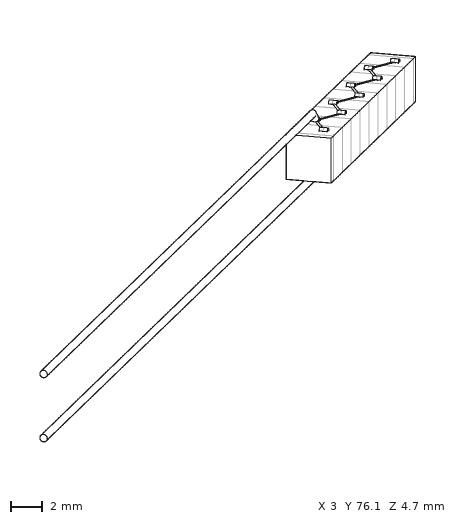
import cadquery as cq

total_length = 76.1
overall_height = 4.7

block_width = 3.0
block_length = 18.9
layer_count = 9
end_plate_length = 0.5
layer_length = (block_length - 2 * end_plate_length) / layer_count

wire_diameter = 0.495
zigzag_reach = 0.57
bus_exposure = 0.015
contact_diameter = 0.4
contact_length = 0.5
lead_corner = 7
lead_start_setback = 0.1
lead_bend_run = 0.75

wire_radius = wire_diameter / 2
back_y = total_length / 2
front_y = -total_length / 2
face_z = block_width / 2
bus_z = face_z + bus_exposure - wire_radius
lead_z = overall_height / 2 - wire_radius


def zigzag_corner(index, z):
    """Corner of the zigzag at the middle of a layer, alternately right and left."""
    side = 1 if index % 2 == 0 else -1
    y = back_y - end_plate_length - (index + 0.5) * layer_length
    return cq.Vector(side * zigzag_reach, y, z)


def make_bent_wire(points):
    """Round wire of straight stretches with mitred bends."""
    start_plane = cq.Plane(origin=points[0], normal=points[1] - points[0])
    path = cq.Workplane("XY").polyline(points)
    return cq.Workplane(start_plane).circle(wire_radius).sweep(path, transition="right")


def make_contact(index):
    """Short round bar along X, half sunk in the face at a corner of the zigzag."""
    bar = cq.Workplane("YZ").circle(contact_diameter / 2).extrude(contact_length / 2, both=True)
    return bar.translate(zigzag_corner(index, face_z))


def make_bus_wire():
    """Zigzag let into the face, with a contact bar at each corner."""
    bus = make_bent_wire([zigzag_corner(index, bus_z) for index in range(layer_count)])
    for index in range(layer_count):
        bus = bus.union(make_contact(index))
    return bus


def make_lead():
    """Wire that rises from a zigzag corner, bends and runs straight to the front."""
    start = zigzag_corner(lead_corner, face_z) + cq.Vector(0, lead_start_setback, 0)
    bend = cq.Vector(start.x, start.y - lead_bend_run, lead_z)
    end = cq.Vector(start.x, front_y, lead_z)
    return make_bent_wire([start, bend, end])


def make_wire(on_top):
    """One whole wire; the bottom one mirrors the top one."""
    wire = make_bus_wire().union(make_lead())
    return wire if on_top else wire.mirror("XY")


def make_layered_block():
    """Layers joined into one solid that keeps the seam lines between them."""
    lengths = [end_plate_length] + [layer_length] * layer_count + [end_plate_length]
    block = cq.Workplane("XY")
    y = back_y
    for length in lengths:
        layer = cq.Workplane("XY").box(block_width, length, block_width)
        layer = layer.translate((0, y - length / 2, 0))
        block = block.union(layer, clean=False)
        y -= length
    return block


wires = [make_wire(on_top) for on_top in (True, False)]

block = make_layered_block()
for wire in wires:
    block = block.cut(wire, clean=False)

result = cq.Compound.makeCompound([block.solids().val(), *[wire.solids().val() for wire in wires]])